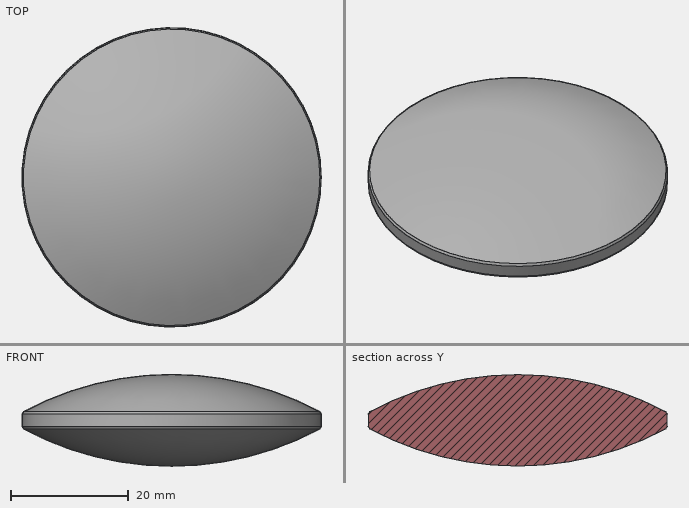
import cadquery as cq

rim_radius = 25.4
thickness = 15.6
bevel_width = 0.25
bevel_height = 0.4
rim_height = 2.15

half_thickness = thickness / 2
half_rim = rim_height / 2
dome_radius = rim_radius - bevel_width
dome_base = half_rim + bevel_height

dome_height = half_thickness - dome_base
sphere_radius = (dome_radius**2 + dome_height**2) / (2 * dome_height)
arc_x = dome_radius / 2
arc_z = half_thickness - sphere_radius + (sphere_radius**2 - arc_x**2) ** 0.5

result = (
    cq.Workplane("XZ")
    .moveTo(0, -half_thickness)
    .threePointArc((arc_x, -arc_z), (dome_radius, -dome_base))
    .lineTo(rim_radius, -half_rim)
    .lineTo(rim_radius, half_rim)
    .lineTo(dome_radius, dome_base)
    .threePointArc((arc_x, arc_z), (0, half_thickness))
    .close()
    .revolve(360, (0, 0, 0), (0, 1, 0))
)